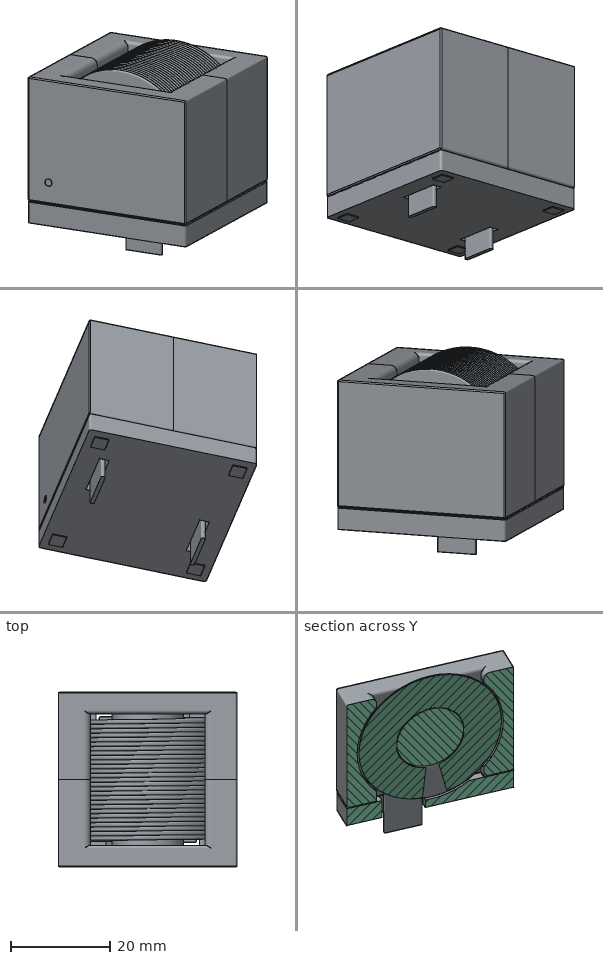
import cadquery as cq
import math

width = 36.0
depth = 35.2
base_height = 4.4
base_corner_radius = 0.5
foot_size = 3.0
foot_height = 0.25
foot_x = 14.85
foot_y = 14.5

glue_thickness = 0.2
glue_setback = 0.5

core_height = 26.1
core_edge_radius = 0.45
end_bevel_along = 0.16
end_bevel_across = 0.3
post_diameter = 14.4
cavity_half_length = 13.25
window_half_width = 11.5
window_side_round = 1.35
window_end_round = 0.65
dot_diameter = 1.52
dot_depth = 0.1
dot_x = -13.3
dot_z = 9.1

wire_thickness = 0.85
wire_width = 8.15
wire_edge_round = 0.3
turn_pitch = 0.9
full_turns = 27
end_turns = 0.25
joint_tolerance = 0.001
post_gap = 0.02
cavity_clearance = 0.3
lead_x = 5.7
lead_length_below_base = 4.2
lead_slot_clearance = 0.6

core_bottom = base_height + glue_thickness
core_top = core_bottom + core_height
axis_z = core_bottom + core_height / 2
post_radius = post_diameter / 2
wire_mean_radius = post_radius + post_gap + wire_width / 2
winding_outer_radius = wire_mean_radius + wire_width / 2
cavity_radius = winding_outer_radius + cavity_clearance

lead_angle = math.degrees(math.asin(lead_x / wire_mean_radius))
lead_top_z = axis_z - wire_mean_radius * math.cos(math.radians(lead_angle))
turn_count = full_turns + 2 * lead_angle / 360
winding_travel = turn_pitch * turn_count
lead_y = winding_travel / 2
lead_places = [(lead_x, -lead_y), (-lead_x, lead_y)]


def cylinder_along_y(radius, y_start, y_end):
    """A cylinder on the winding axis between two Y positions."""
    start = cq.Vector(0, y_start, axis_z)
    solid = cq.Solid.makeCylinder(radius, y_end - y_start, start, cq.Vector(0, 1, 0))
    return cq.Workplane(solid)


def flared_slot(plane, half_size, flare, half_length):
    """A slot through the core height whose top edges are cut back to leave convex rounds."""
    flare_bottom = core_top - flare
    mid_drop = flare * (1 - math.sqrt(0.5))
    return (
        cq.Workplane(plane)
        .moveTo(-half_size, 0)
        .lineTo(-half_size, flare_bottom)
        .threePointArc((-half_size - mid_drop, core_top - mid_drop), (-half_size - flare, core_top))
        .lineTo(half_size + flare, core_top)
        .threePointArc((half_size + mid_drop, core_top - mid_drop), (half_size, flare_bottom))
        .lineTo(half_size, 0)
        .close()
        .extrude(half_length, both=True)
    )


def make_window():
    """Opening through the core; its side and end rounds meet in mitres at the corners."""
    side_slot = flared_slot("XZ", window_half_width, window_side_round, depth)
    end_slot = flared_slot("YZ", cavity_half_length, window_end_round, width)
    return side_slot.intersect(end_slot)


def make_core():
    """The whole core, before it is parted at Y = 0."""
    block = (
        cq.Workplane("XY")
        .box(width, depth, core_height)
        .edges("|Y")
        .fillet(core_edge_radius)
        .faces("<Y or >Y")
        .edges()
        .chamfer(end_bevel_across, end_bevel_along)
        .translate((0, 0, axis_z))
    )
    cavity = cylinder_along_y(cavity_radius, -cavity_half_length, cavity_half_length)
    post = cylinder_along_y(post_radius, -cavity_half_length, cavity_half_length)
    return block.cut(make_window()).cut(cavity).union(post)


def make_core_half(core, side):
    """The half of the core on the +Y side (side = 1) or the -Y side (side = -1)."""
    half_space = (
        cq.Workplane("XY")
        .box(width, depth / 2, core_height)
        .translate((0, side * depth / 4, axis_z))
    )
    return core.intersect(half_space)


def make_pin_one_dot():
    """Shallow round dimple in the -Y face of the core."""
    centre = cq.Vector(dot_x, -depth / 2, dot_z)
    return cq.Workplane(
        cq.Solid.makeCylinder(dot_diameter / 2, dot_depth, centre, cq.Vector(0, 1, 0))
    )


def make_lead_bar(x, y, clearance, bottom_z, top_z):
    """An upright bar of the wire's section, enlarged all round by a clearance."""
    return (
        cq.Workplane("XY", origin=(x, y, bottom_z))
        .rect(wire_width + 2 * clearance, wire_thickness + 2 * clearance)
        .extrude(top_z - bottom_z)
    )


def make_turns(start_turn, turns):
    """A stretch of the helical wire, beginning a given number of turns after the -Y lead."""
    helix = cq.Wire.makeHelix(turn_pitch, turn_pitch * turns, wire_mean_radius)
    section = cq.Sketch().rect(wire_width, wire_thickness).vertices().fillet(wire_edge_round)
    return (
        cq.Workplane("XZ", origin=(wire_mean_radius, 0, 0))
        .placeSketch(section)
        .sweep(cq.Workplane(helix), isFrenet=True)
        .rotate((0, 0, 0), (0, 0, 1), 90 - lead_angle + 360 * start_turn)
        .rotate((0, 0, 0), (1, 0, 0), -90)
        .translate((0, turn_pitch * start_turn - winding_travel / 2, axis_z))
    )


def make_winding():
    """Helical wire from one lead to the other, sewn from a middle stretch and two ends with leads."""
    middle = make_turns(end_turns, turn_count - 2 * end_turns)
    skin = middle.faces("not %PLANE").vals()
    joints = middle.faces("%PLANE").vals()
    for (x, y), start in zip(lead_places, [0, turn_count - end_turns]):
        lead = make_lead_bar(x, y, 0, -lead_length_below_base, lead_top_z)
        end = make_turns(start, end_turns).union(lead.edges("|Z").fillet(wire_edge_round), clean=False)
        for face in end.faces().vals():
            gaps = [(face.Center() - joint.Center()).Length for joint in joints]
            if min(gaps) > joint_tolerance:
                skin.append(face)
    shell = cq.occ_impl.shapes.shell(*skin, tol=joint_tolerance)
    return cq.Workplane(cq.occ_impl.shapes.solid(shell))


def make_base():
    """Plate with a trough for the winding, a slot for each lead and four square feet."""
    base = (
        cq.Workplane("XY")
        .rect(width, depth)
        .extrude(base_height)
        .edges("|Z")
        .fillet(base_corner_radius)
    )
    base = base.cut(cylinder_along_y(cavity_radius, -cavity_half_length, cavity_half_length))
    for x, y in lead_places:
        base = base.cut(make_lead_bar(x, y, lead_slot_clearance, 0, base_height))
    feet = (
        cq.Workplane("XY")
        .rect(2 * foot_x, 2 * foot_y, forConstruction=True)
        .vertices()
        .rect(foot_size, foot_size)
        .extrude(-foot_height)
    )
    return base.union(feet)


def make_glue_sheet():
    """Frame on top of the base, open under the core window."""
    return (
        cq.Workplane("XY", origin=(0, 0, base_height))
        .rect(width - 2 * glue_setback, depth - 2 * glue_setback)
        .rect(2 * window_half_width, 2 * cavity_half_length)
        .extrude(glue_thickness)
    )


full_core = make_core()
back_core = make_core_half(full_core, 1)
front_core = make_core_half(full_core, -1).cut(make_pin_one_dot())
winding = make_winding()
base = make_base()
glue_sheet = make_glue_sheet()

result = cq.Compound.makeCompound(
    [base.val(), glue_sheet.val(), front_core.val(), back_core.val(), winding.val()]
)